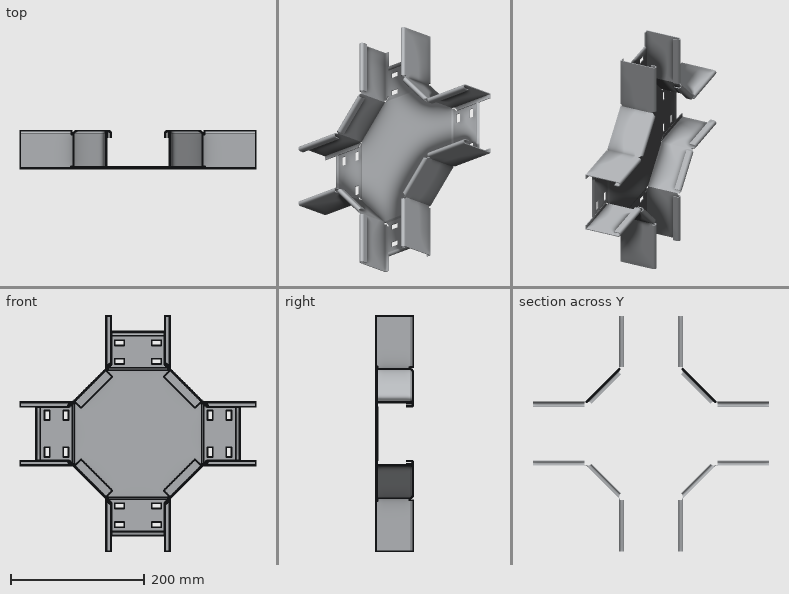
import cadquery as cq
import math


overall = 353.97
height = 57.0
sheet = 1.25
arm_half_width = 48.1
arm_length = 79.6
arm_end = overall / 2
wall_bend = arm_end - arm_length
diagonal_half = (wall_bend - arm_half_width) / math.sqrt(2)

hook_radius = 3.85
hook_drop = 10.0
hook_width = 2 * hook_radius
diagonal_hook_slant = 3.5
wall_top = height - hook_radius

flange_width = 7.4
flange_start = 3.4
flange_clip_radius = 4.6
tab_width = 15.0
tab_half = 33.2

relief_width = 2.5
relief_radius = relief_width / 2
top_relief_depth = 6.0
bottom_relief_height = 3.0

floor_half_width = 40.0
neck_half_width = 45.3
joggle_start = 95.6
joggle_length = 3.2
joggle_bend = 3.0
flat_start = joggle_start + joggle_length
bead_start = 147.7
bead_half_width = 2.4
bead_depth = 1.8
bead_bend = 1.2

slot_length = 14.0
slot_width = 7.5
slot_half_spacing = 27.75
slot_rows = (108.5, 136.5)


def plan(level):
    """Plan sketch with X and Z as its axes; a negative extrusion goes up."""
    return cq.Workplane(cq.Plane((0, level, 0), (1, 0, 0), (0, -1, 0)))


def arm_section():
    """Section across an arm wall at its open end: x points inward from the outer face, y up."""
    return cq.Workplane(cq.Plane((arm_half_width, 0, arm_end), (-1, 0, 0), (0, 0, -1)))


def diagonal_section(distance):
    """Section across the diagonal wall at a distance from the wall bend: x inward, y up."""
    step = distance / math.sqrt(2)
    origin = (arm_half_width + step, 0, wall_bend - step)
    return cq.Workplane(cq.Plane(origin, (-1, 0, -1), (1, 0, -1)))


def flange_profile(section, width):
    return section.center(width / 2, sheet / 2).rect(width, sheet)


def hook_profile(section):
    """Half-round roll from the top of the wall, ending in a lip that hangs down inside."""
    lip_bottom = height - hook_drop
    return (
        section.moveTo(0, wall_top)
        .threePointArc((hook_radius, height), (hook_width, wall_top))
        .lineTo(hook_width, lip_bottom)
        .lineTo(hook_width - sheet, lip_bottom)
        .lineTo(hook_width - sheet, wall_top)
        .threePointArc((hook_radius, height - sheet), (sheet, wall_top))
        .close()
    )




def half_wall():
    """Upright wall of one arm and half of the diagonal, mitred at the bend."""
    middle = (arm_half_width + wall_bend) / 2
    inset = sheet / math.sqrt(2)
    outline = [
        (arm_half_width, arm_end),
        (arm_half_width, wall_bend),
        (middle, middle),
        (middle - inset, middle - inset),
        (arm_half_width - sheet, wall_bend - sheet * math.tan(math.radians(22.5))),
        (arm_half_width - sheet, arm_end),
    ]
    return plan(0).polyline(outline).close().extrude(-wall_top)


def diagonal_hook():
    """Rolled edge of half the diagonal wall, cut back on a slant at the wall bend."""
    origin = (arm_half_width, wall_top, wall_bend)
    side = cq.Workplane(cq.Plane(origin, (1, 0, -1), (1, 0, 1)))
    end_cut = (
        side.moveTo(0, -hook_drop)
        .lineTo(diagonal_hook_slant, -hook_drop)
        .lineTo(diagonal_hook_slant, hook_radius)
        .lineTo(0, hook_radius)
        .close()
        .extrude(-hook_width)
    )
    wall_side = (
        side.polyline([(0, 0), (diagonal_hook_slant, 0), (diagonal_hook_slant, hook_radius)])
        .close()
        .extrude(-hook_radius)
    )
    return hook_profile(diagonal_section(0)).extrude(diagonal_half).cut(end_cut.cut(wall_side))


def arm_flange():
    """Bottom flange of an arm wall, with a round clip out of its inner corner near the wall bend."""
    flange = flange_profile(arm_section(), flange_width).extrude(arm_length - flange_start)
    inner_corner = (arm_half_width - flange_width, wall_bend + flange_start)
    clip = plan(0).moveTo(*inner_corner).circle(flange_clip_radius).extrude(-sheet)
    return flange.cut(clip)


def bend_reliefs():
    """Round-ended notch in the top and square notch in the bottom of an arm wall."""
    side = cq.Workplane("YZ", origin=(arm_half_width - sheet, 0, wall_bend))
    notch_centre = height - top_relief_depth + relief_radius
    round_end = side.center(notch_centre, relief_radius).circle(relief_radius).extrude(sheet)
    top = side.moveTo(notch_centre, 0).rect(height - notch_centre, relief_width, centered=False).extrude(sheet)
    bottom = side.rect(bottom_relief_height, flange_start, centered=False).extrude(sheet)
    return round_end.union(top).union(bottom)


def corner_piece():
    """Diagonal wall with its tab and an arm wall at each end, symmetric about the plane X = Z."""
    arm_hook = hook_profile(arm_section()).extrude(arm_length - relief_width)
    tab = flange_profile(diagonal_section(diagonal_half - tab_half), tab_width).extrude(tab_half)
    half = half_wall().cut(bend_reliefs()).union(arm_hook).union(diagonal_hook()).union(arm_flange()).union(tab)
    return half.union(half.mirror(cq.Vector(1, 0, -1)))




def octagon():
    """Raised centre of the floor, lying on the tabs of the corner pieces."""
    diagonal_reach = arm_half_width + wall_bend - sheet * math.sqrt(2)
    near = diagonal_reach - joggle_start
    far = joggle_start
    corners = [
        (near, far), (far, near), (far, -near), (near, -far),
        (-near, -far), (-far, -near), (-far, near), (-near, far),
    ]
    return plan(sheet).polyline(corners).close().extrude(-sheet)


def floor_strip():
    """Bent section of the +Z arm: joggle down from the octagon, flat, and round bead at the end."""
    bead_centre = bead_start + bead_half_width
    bead_end = bead_start + 2 * bead_half_width
    inner_radius = (bead_half_width**2 + bead_depth**2) / (2 * bead_depth)
    outer_radius = inner_radius + sheet
    axis_height = bead_depth - inner_radius
    end_growth = outer_radius / inner_radius
    tip = (axis_height * (1 - end_growth), bead_centre + bead_half_width * end_growth)
    shoulder = math.sqrt(outer_radius**2 - (sheet - axis_height) ** 2)
    overlap = joggle_start - joggle_bend
    strip = (
        cq.Workplane("YZ", origin=(-neck_half_width, 0, 0))
        .moveTo(sheet, overlap)
        .lineTo(sheet, joggle_start)
        .lineTo(0, flat_start)
        .lineTo(0, bead_start)
        .threePointArc((bead_depth, bead_centre), (0, bead_end))
        .lineTo(*tip)
        .threePointArc((bead_depth + sheet, bead_centre), (sheet, bead_centre - shoulder))
        .lineTo(sheet, flat_start)
        .lineTo(2 * sheet, joggle_start)
        .lineTo(2 * sheet, overlap)
        .close()
        .extrude(2 * neck_half_width)
    )
    joggle_edge = cq.selectors.NearestToPointSelector((0, sheet, joggle_start))
    bead_edge = cq.selectors.NearestToPointSelector((0, 0, bead_start))
    return strip.edges(joggle_edge).fillet(joggle_bend).edges(bead_edge).fillet(bead_bend)


def arm_floor():
    """Floor of the +Z arm, narrowed between the flanges and pierced by four slots."""
    narrow_start = flat_start + neck_half_width - floor_half_width
    half = [
        (neck_half_width, 0),
        (neck_half_width, flat_start),
        (floor_half_width, narrow_start),
        (floor_half_width, arm_end),
    ]
    outline = half + [(-x, z) for x, z in reversed(half)]
    blank = plan(0).polyline(outline).close().extrude(-height)
    slot_centres = [(x, z) for x in (-slot_half_spacing, slot_half_spacing) for z in slot_rows]
    slots = plan(0).pushPoints(slot_centres).rect(slot_length, slot_width).extrude(-sheet)
    return floor_strip().intersect(blank).cut(slots)


def turned(body, quarter):
    """Copy of a body turned about the vertical Y axis by a number of quarter turns."""
    return body.rotate((0, 0, 0), (0, 1, 0), 90 * quarter)


def floor_plate():
    plate = octagon()
    arm = arm_floor()
    for quarter in range(4):
        plate = plate.union(turned(arm, quarter))
    return plate


floor = floor_plate()
corner = corner_piece()
corner_solids = [turned(corner, quarter).val() for quarter in range(4)]

result = cq.Compound.makeCompound([floor.val(), *corner_solids])